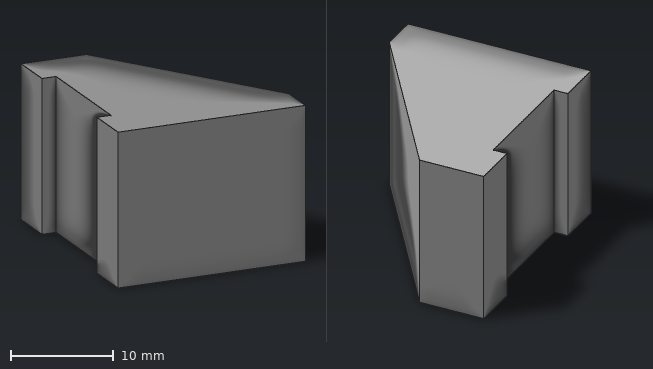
import cadquery as cq

width = 23.0
depth = 20.0
height = 16.0

left_side_length = 7.0
back_flat_width = 4.0

foot_width = 5.0
channel_depth = 1.5
channel_width = width - 2 * foot_width


def make_wedge():
    """Block with its -X/+Y corner cut away by a slope."""
    outline = [
        (0, 0),
        (width, 0),
        (width, depth),
        (width - back_flat_width, depth),
        (0, left_side_length),
    ]
    return cq.Workplane("XY").polyline(outline).close().extrude(height)


def make_channel():
    """Cutter that leaves a foot at each end of the -Y face."""
    return (
        cq.Workplane("XY")
        .box(channel_width, channel_depth, height, centered=False)
        .translate((foot_width, 0, 0))
    )


result = make_wedge().cut(make_channel())